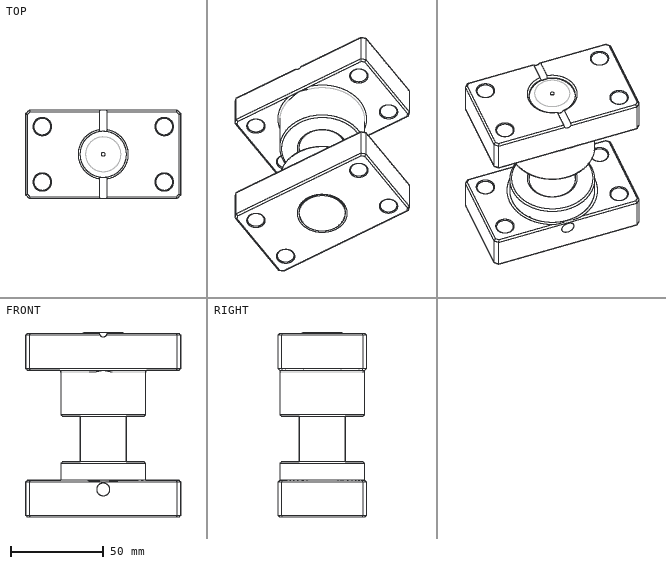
import cadquery as cq

plate_length = 84.0
plate_width = 48.0
plate_thickness = 20.0
plate_corner_chamfer = 2.0
plate_bevel = 1.0
upper_plate_bottom = 79.5
upper_plate_top = upper_plate_bottom + plate_thickness

hole_diameter = 9.0
hole_chamfer = 0.5
hole_spacing_x = 66.0
hole_spacing_y = 30.0

collar_diameter = 46.0
collar_radius = collar_diameter / 2
collar_chamfer = 1.0
collar_root_depth = plate_thickness / 2
lower_collar_height = 10.0
upper_collar_height = 25.0
root_fillet = 1.0
root_fillet_runout = 4.8

pin_diameter = 25.0
pin_length = 100.0
pin_end_fillet = 3.0
center_hole_diameter = 2.0
center_hole_depth = 2.0
bore_chamfer = 1.0

relief_radius = 0.9
relief_width = 1.5
relief_center_height = 0.5

cross_hole_diameter = 7.0
cross_hole_height = 15.0
channel_radius = 2.0


def frustum(bottom_radius, top_radius, bottom_z, height, x=0, y=0):
    """Vertical truncated cone."""
    return cq.Workplane(cq.Solid.makeCone(bottom_radius, top_radius, height, pnt=cq.Vector(x, y, bottom_z)))


def cylinder(diameter, bottom_z, height):
    """Cylinder on the pin axis."""
    return cq.Workplane("XY", origin=(0, 0, bottom_z)).circle(diameter / 2).extrude(height)


def mounting_plate(bottom_z):
    """Plate with chamfered corners and bevelled top and bottom edges."""
    return (
        cq.Workplane("XY", origin=(0, 0, bottom_z))
        .box(plate_length, plate_width, plate_thickness, centered=(True, True, False))
        .edges("|Z")
        .chamfer(plate_corner_chamfer)
        .faces("<Z or >Z")
        .edges()
        .chamfer(plate_bevel)
    )


def chamfered_bore(diameter, chamfer, bottom_z, top_z, x=0, y=0):
    """Cutting tool for a through hole with a chamfer at its upper and lower mouths."""
    radius = diameter / 2
    bore = cq.Workplane("XY", origin=(x, y, bottom_z)).circle(radius).extrude(top_z - bottom_z)
    lower_mouth = frustum(radius + chamfer, radius, bottom_z, chamfer, x, y)
    upper_mouth = frustum(radius, radius + chamfer, top_z - chamfer, chamfer, x, y)
    return bore.union(lower_mouth).union(upper_mouth)


def cut_mounting_holes(holder, bottom_z):
    """Cut the four chamfered corner holes through a plate."""
    for x in (-hole_spacing_x / 2, hole_spacing_x / 2):
        for y in (-hole_spacing_y / 2, hole_spacing_y / 2):
            hole = chamfered_bore(hole_diameter, hole_chamfer, bottom_z, bottom_z + plate_thickness, x, y)
            holder = holder.cut(hole)
    return holder


def collar_relief():
    """Cutting tool for the relief groove round the foot of the lower collar."""
    return cq.Workplane(cq.Solid.makeTorus(
        collar_radius + relief_width / 2, relief_radius,
        pnt=cq.Vector(0, 0, plate_thickness + relief_center_height)))


def make_lower_holder():
    """Lower plate with a short collar standing on it."""
    top_z = plate_thickness + lower_collar_height
    collar = cylinder(
        collar_diameter, plate_thickness - collar_root_depth, lower_collar_height + collar_root_depth)
    collar = collar.faces(">Z").edges().chamfer(collar_chamfer)
    holder = mounting_plate(0).cut(collar_relief()).union(collar)
    holder = cut_mounting_holes(holder, 0)
    holder = holder.cut(chamfered_bore(pin_diameter, bore_chamfer, 0, top_z))
    cross_hole = (
        cq.Workplane("XZ", origin=(0, 0, cross_hole_height))
        .circle(cross_hole_diameter / 2)
        .extrude(plate_width / 2)
    )
    return holder.cut(cross_hole)


def upper_root_fillet():
    """Concave ring between the upper plate and its collar.

    The ring stays on the flat underside of the plate. Where the collar reaches the front and back
    bevels, the ring runs out to nothing.
    """
    ring = (
        cq.Workplane("XZ")
        .moveTo(collar_radius - root_fillet, upper_plate_bottom)
        .lineTo(collar_radius + root_fillet, upper_plate_bottom)
        .radiusArc((collar_radius, upper_plate_bottom - root_fillet), -root_fillet)
        .lineTo(collar_radius - root_fillet, upper_plate_bottom - root_fillet)
        .close()
        .revolve(360, (0, 0), (0, 1))
    )
    flat_underside = cq.Workplane("XY", origin=(0, 0, upper_plate_bottom)).box(
        plate_length, plate_width - 2 * plate_bevel, 2 * root_fillet)
    runout = (
        cq.Workplane("XZ", origin=(0, plate_width / 2, 0))
        .moveTo(0, upper_plate_bottom)
        .lineTo(root_fillet_runout, upper_plate_bottom - root_fillet)
        .lineTo(-root_fillet_runout, upper_plate_bottom - root_fillet)
        .close()
        .extrude(plate_width)
    )
    return ring.intersect(flat_underside).cut(runout)


def make_upper_holder():
    """Upper plate with a long collar hanging below it."""
    collar_bottom = upper_plate_bottom - upper_collar_height
    collar = cylinder(collar_diameter, collar_bottom, upper_collar_height + collar_root_depth)
    collar = collar.faces("<Z").edges().chamfer(collar_chamfer)
    holder = mounting_plate(upper_plate_bottom).union(collar).union(upper_root_fillet())
    holder = cut_mounting_holes(holder, upper_plate_bottom)
    holder = holder.cut(chamfered_bore(pin_diameter, bore_chamfer, collar_bottom, upper_plate_top))
    channel = (
        cq.Workplane("XZ", origin=(0, plate_width / 2, upper_plate_top))
        .moveTo(-channel_radius, channel_radius)
        .lineTo(-channel_radius, 0)
        .threePointArc((0, -channel_radius), (channel_radius, 0))
        .lineTo(channel_radius, channel_radius)
        .close()
        .extrude(plate_width)
    )
    return holder.cut(channel)


def make_pin():
    """Guide pin with a rounded upper end and a small centre hole."""
    return (
        cylinder(pin_diameter, 0, pin_length)
        .faces(">Z")
        .edges()
        .fillet(pin_end_fillet)
        .faces(">Z")
        .workplane()
        .hole(center_hole_diameter, center_hole_depth)
    )


lower_holder = make_lower_holder()
upper_holder = make_upper_holder()
pin = make_pin()

result = cq.Compound.makeCompound([lower_holder.val(), upper_holder.val(), pin.val()])